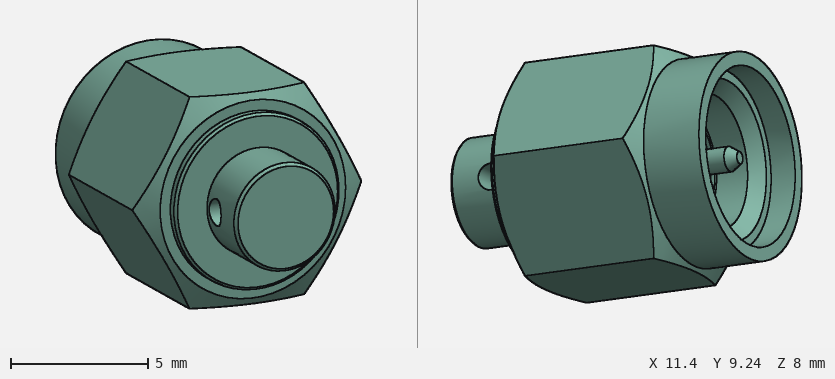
import cadquery as cq
import math

length = 11.4

hex_across_flats = 8.0
hex_start = 2.3
hex_end = 8.62
hex_front_radius = 3.85
hex_back_radius = 3.74
hex_cone_angle = 30.0

flange_radius = 3.33
flange_end = 9.02
flange_chamfer = 0.1
tail_radius = 2.04
tail_chamfer = 0.11
cross_hole_diameter = 1.0
cross_hole_x = 9.7

mouth_radius = 3.34
mouth_depth = 1.0
lead_in_radius = 2.99
bore_radius = 2.49
lead_in_depth = mouth_depth + lead_in_radius - bore_radius
socket_depth = 2.94

ring_radius = 2.29
ring_chamfer = 0.11
ring_face_x = 2.62
dielectric_radius = 2.04
dielectric_x = 2.79
pin_clearance_radius = 0.65
pin_clearance_end = 3.99
pin_radius = 0.47
pin_tip_radius = 0.23
pin_tip_x = 0.45
pin_taper_length = 0.4


def revolve_profile(points):
    """Revolve a closed (x, radius) outline about the X axis."""
    return cq.Workplane("XY").polyline(points).close().revolve(360, (0, 0, 0), (1, 0, 0))


def cylinder(start, end, radius):
    return revolve_profile([(start, 0), (start, radius), (end, radius), (end, 0)])


def make_nut():
    corner_radius = hex_across_flats / math.sqrt(3)
    prism = (
        cq.Workplane("YZ", origin=(hex_start, 0, 0))
        .polygon(6, 2 * corner_radius)
        .extrude(hex_end - hex_start)
    )
    slope = math.tan(math.radians(hex_cone_angle))
    envelope_radius = corner_radius + 0.11
    front_run = (envelope_radius - hex_front_radius) * slope
    back_run = (envelope_radius - hex_back_radius) * slope
    envelope = revolve_profile([
        (hex_start, 0),
        (hex_start, hex_front_radius),
        (hex_start + front_run, envelope_radius),
        (hex_end - back_run, envelope_radius),
        (hex_end, hex_back_radius),
        (hex_end, 0),
    ])
    return prism.intersect(envelope)


def make_rear():
    flange = cylinder(hex_end, flange_end, flange_radius).faces(">X").chamfer(flange_chamfer)
    tail = cylinder(flange_end, length, tail_radius).faces(">X").chamfer(tail_chamfer)
    hole = (
        cq.Workplane("XZ")
        .center(cross_hole_x, 0)
        .circle(cross_hole_diameter / 2)
        .extrude(tail_radius + 0.11, both=True)
    )
    return flange.union(tail).cut(hole)


def make_socket():
    return revolve_profile([
        (0, 0),
        (0, mouth_radius),
        (mouth_depth, mouth_radius),
        (mouth_depth, lead_in_radius),
        (lead_in_depth, bore_radius),
        (socket_depth, bore_radius),
        (socket_depth, 0),
    ])


def make_contact():
    ring = cylinder(ring_face_x, socket_depth, ring_radius).faces("<X").chamfer(ring_chamfer)
    return ring.cut(cylinder(ring_face_x, dielectric_x, dielectric_radius))


def make_pin():
    return revolve_profile([
        (pin_tip_x, 0),
        (pin_tip_x, pin_tip_radius),
        (pin_tip_x + pin_taper_length, pin_radius),
        (pin_clearance_end, pin_radius),
        (pin_clearance_end, 0),
    ])


collar = cylinder(0, hex_start, hex_front_radius)
shell = collar.union(make_nut()).union(make_rear())
pin_clearance = cylinder(dielectric_x, pin_clearance_end, pin_clearance_radius)
result = shell.cut(make_socket()).union(make_contact()).cut(pin_clearance).union(make_pin())